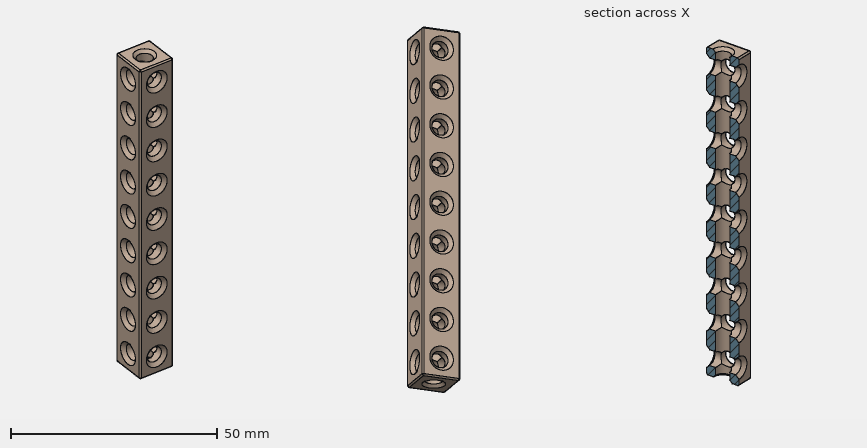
import cadquery as cq

pitch = 10.0
hole_count = 9
edge_chamfer = 0.4
hole_diameter = 4.2
side_sink_diameter = 6.2
side_sink_depth = 1.0
end_sink_diameter = 5.8
end_sink_depth = 0.8

length = pitch * hole_count
half_width = pitch / 2
half_length = length / 2
first_hole_z = -half_length + pitch / 2


def countersink(face_center, inward, mouth_diameter, depth):
    """Cone narrowing from a face down to the hole diameter."""
    return cq.Solid.makeCone(mouth_diameter / 2, hole_diameter / 2, depth, face_center, inward)


def through_hole(center, axis, half_span, sink_diameter, sink_depth):
    """Straight hole through the beam with a countersink at both mouths."""
    start = center - axis * half_span
    end = center + axis * half_span
    bore = cq.Solid.makeCylinder(hole_diameter / 2, 2 * half_span, start, axis)
    start_sink = countersink(start, axis, sink_diameter, sink_depth)
    end_sink = countersink(end, -axis, sink_diameter, sink_depth)
    return bore.fuse(start_sink, end_sink)


x_axis = cq.Vector(1, 0, 0)
y_axis = cq.Vector(0, 1, 0)
z_axis = cq.Vector(0, 0, 1)

beam = cq.Workplane("XY").box(pitch, pitch, length).edges().chamfer(edge_chamfer)

beam = beam.cut(through_hole(cq.Vector(0, 0, 0), z_axis, half_length, end_sink_diameter, end_sink_depth))

for index in range(hole_count):
    center = cq.Vector(0, 0, first_hole_z + index * pitch)
    for axis in (x_axis, y_axis):
        beam = beam.cut(through_hole(center, axis, half_width, side_sink_diameter, side_sink_depth))

result = beam